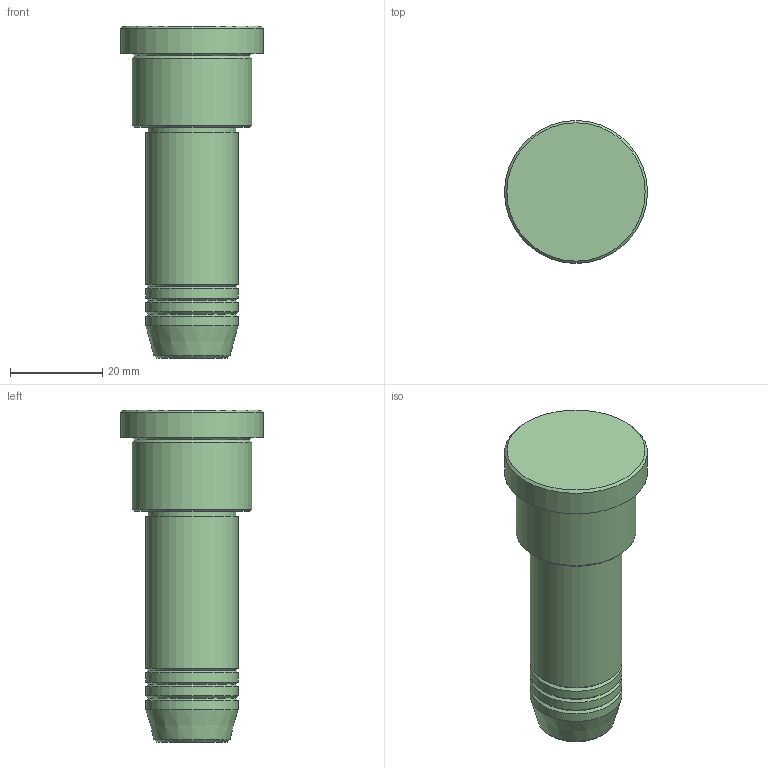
import cadquery as cq
import math

total_length = 72.0

head_radius = 15.5
head_thickness = 6.0
head_chamfer = 0.5

collar_radius = 13.0
collar_length = 16.0
collar_chamfer = 0.5

neck_radius = 9.5
neck_length = 1.0

shank_radius = 10.0
taper_length = 7.0
taper_angle = 15.0
tip_chamfer = 0.5

groove_width = 1.0
groove_depth = groove_width / 2
shank_groove_count = 3
shank_groove_pitch = 3.0
lowest_groove_center = 9.5

head_bottom = total_length - head_thickness
collar_bottom = head_bottom - collar_length
shank_top = collar_bottom - neck_length
taper_end_radius = shank_radius - (taper_length - tip_chamfer) * math.tan(math.radians(taper_angle))
tip_radius = taper_end_radius - tip_chamfer


def make_body():
    """Revolve the stepped half profile about the Z axis."""
    profile = [
        (0, 0),
        (tip_radius, 0),
        (taper_end_radius, tip_chamfer),
        (shank_radius, taper_length),
        (shank_radius, shank_top),
        (neck_radius, shank_top),
        (neck_radius, collar_bottom),
        (collar_radius - collar_chamfer, collar_bottom),
        (collar_radius, collar_bottom + collar_chamfer),
        (collar_radius, head_bottom),
        (head_radius, head_bottom),
        (head_radius, total_length - head_chamfer),
        (head_radius - head_chamfer, total_length),
        (0, total_length),
    ]
    return cq.Workplane("XZ").polyline(profile).close().revolve(360, (0, 0), (0, 1))


def make_v_groove(surface_radius, center_height):
    """Ring of triangular section that cuts a V-groove into a cylinder."""
    section = [
        (surface_radius, center_height - groove_width / 2),
        (surface_radius - groove_depth, center_height),
        (surface_radius, center_height + groove_width / 2),
    ]
    return cq.Workplane("XZ").polyline(section).close().revolve(360, (0, 0), (0, 1))


result = make_body()

result = result.cut(make_v_groove(collar_radius, head_bottom - groove_width / 2))

for index in range(shank_groove_count):
    groove_center = lowest_groove_center + index * shank_groove_pitch
    result = result.cut(make_v_groove(shank_radius, groove_center))